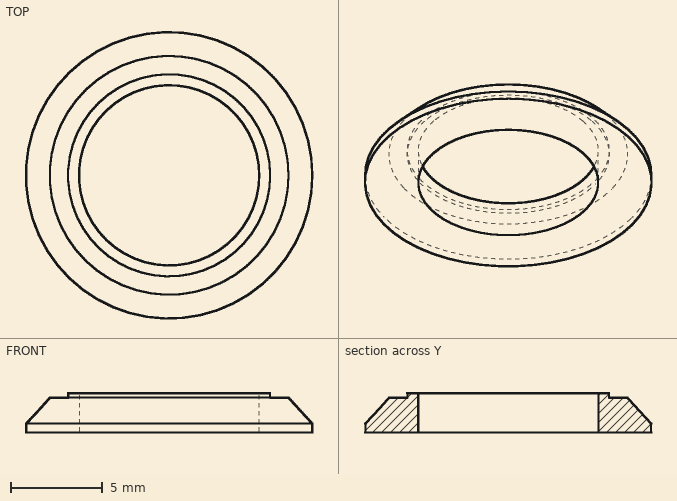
import cadquery as cq

outer_diameter = 15.6
shoulder_diameter = 13.0
lip_diameter = 11.0
bore_diameter = 9.8
total_height = 2.15
lip_height = 0.25
rim_height = 0.48

outer_radius = outer_diameter / 2
shoulder_radius = shoulder_diameter / 2
lip_radius = lip_diameter / 2
bore_radius = bore_diameter / 2
shoulder_level = total_height - lip_height

profile = (
    cq.Workplane("XZ")
    .moveTo(bore_radius, 0)
    .lineTo(outer_radius, 0)
    .lineTo(outer_radius, rim_height)
    .lineTo(shoulder_radius, shoulder_level)
    .lineTo(lip_radius, shoulder_level)
    .lineTo(lip_radius, total_height)
    .lineTo(bore_radius, total_height)
    .close()
)

result = profile.revolve(360, (0, 0, 0), (0, 1, 0))